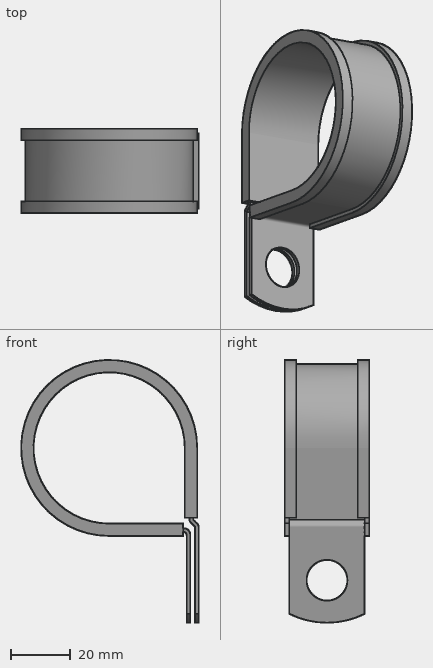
import cadquery as cq
import math

cushion_radius = 29.6
cushion_thickness = 4.2
cushion_width = 28.5
bore_radius = cushion_radius - cushion_thickness
lower_leg_end_x = 24.8
upright_leg_end_z = -23.5

groove_depth = 1.3
groove_width = 20.5
strap_thickness = 1.3
strap_width = 25.4
strap_radius = cushion_radius - groove_depth
strap_inner_radius = strap_radius - strap_thickness

overall_height = 88.4
tab_bottom_z = cushion_radius - overall_height
near_tab_outer_x = 27.3
near_bend_inner_radius = 1.0
far_tab_outer_x = 30.1
jog_start_z = -24.1
tab_end_rise = 3.0
hole_diameter = 13.6
hole_z = -44.5


def loop_solid(outer_radius, inner_radius, width):
    """Three-quarter ring with a lower and an upright leg, centred on Y = 0."""
    diagonal = math.sqrt(0.5)
    outline = (
        cq.Workplane("XZ")
        .moveTo(lower_leg_end_x, -outer_radius)
        .lineTo(0, -outer_radius)
        .threePointArc((-outer_radius * diagonal, outer_radius * diagonal), (outer_radius, 0))
        .lineTo(outer_radius, upright_leg_end_z)
        .lineTo(inner_radius, upright_leg_end_z)
        .lineTo(inner_radius, 0)
        .threePointArc((-inner_radius * diagonal, inner_radius * diagonal), (0, -inner_radius))
        .lineTo(lower_leg_end_x, -inner_radius)
        .close()
    )
    return outline.extrude(width / 2, both=True)


def near_tab():
    """Strap end leaving the lower leg and turning down through a round bend."""
    bend_outer_radius = near_bend_inner_radius + strap_thickness
    inner_x = near_tab_outer_x - strap_thickness
    bend_x = near_tab_outer_x - bend_outer_radius
    bend_z = -strap_inner_radius - bend_outer_radius
    return (
        cq.Workplane("XZ")
        .moveTo(lower_leg_end_x, -strap_inner_radius)
        .lineTo(bend_x, -strap_inner_radius)
        .radiusArc((near_tab_outer_x, bend_z), bend_outer_radius)
        .lineTo(near_tab_outer_x, tab_bottom_z)
        .lineTo(inner_x, tab_bottom_z)
        .lineTo(inner_x, bend_z)
        .radiusArc((bend_x, -strap_radius), -near_bend_inner_radius)
        .lineTo(lower_leg_end_x, -strap_radius)
        .close()
        .extrude(strap_width / 2, both=True)
    )


def far_tab():
    """Strap end leaving the upright leg and jogging outward at 45 degrees."""
    inner_x = far_tab_outer_x - strap_thickness
    jog = far_tab_outer_x - strap_radius
    slant = strap_thickness * math.sqrt(0.5)
    upper_corner_z = jog_start_z
    lower_corner_z = jog_start_z - jog - strap_thickness * math.tan(math.pi / 8)
    return (
        cq.Workplane("XZ")
        .moveTo(strap_radius, upright_leg_end_z)
        .lineTo(strap_radius, upper_corner_z)
        .lineTo(inner_x + slant, lower_corner_z + slant)
        .radiusArc((far_tab_outer_x, lower_corner_z), strap_thickness)
        .lineTo(far_tab_outer_x, tab_bottom_z)
        .lineTo(inner_x, tab_bottom_z)
        .lineTo(inner_x, lower_corner_z)
        .lineTo(strap_radius - slant, upper_corner_z - slant)
        .radiusArc((strap_inner_radius, upper_corner_z), strap_thickness)
        .lineTo(strap_inner_radius, upright_leg_end_z)
        .close()
        .extrude(strap_width / 2, both=True)
    )


def tab_envelope():
    """Face-on tab shape with its bowed lower end, deep enough to span both tabs."""
    half_width = strap_width / 2
    corner_z = tab_bottom_z + tab_end_rise
    return (
        cq.Workplane("YZ")
        .moveTo(-half_width, 0)
        .lineTo(-half_width, corner_z)
        .threePointArc((0, tab_bottom_z), (half_width, corner_z))
        .lineTo(half_width, 0)
        .close()
        .extrude(far_tab_outer_x)
    )


cushion = loop_solid(cushion_radius, bore_radius, cushion_width)
groove = loop_solid(cushion_radius, strap_radius, groove_width)

bolt_hole = (
    cq.Workplane("YZ")
    .center(0, hole_z)
    .circle(hole_diameter / 2)
    .extrude(far_tab_outer_x)
)
tabs = near_tab().add(far_tab()).combine().intersect(tab_envelope()).cut(bolt_hole)

result = cushion.cut(groove).union(tabs)